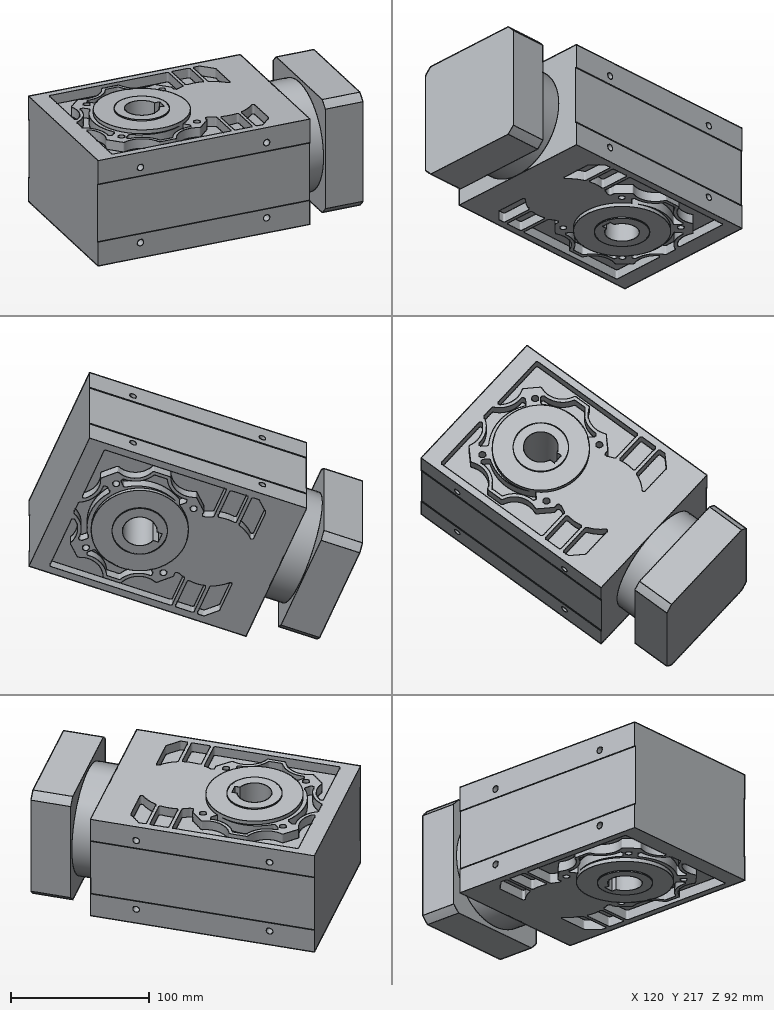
import cadquery as cq
import math


body_width = 120.0
body_length = 168.0
body_height = 84.0
body_front = -62.3
body_back = body_front + body_length
body_top = body_height / 2
side_relief_height = 45.8
side_relief_depth = 0.7

overall_length = 217.0
adapter_thickness = 30.0
adapter_size = 90.0
adapter_corner_diameter = 120.0
adapter_back = body_front + overall_length
adapter_front = adapter_back - adapter_thickness

cover_diameter = 70.0
cover_top = adapter_size / 2
hub_diameter = 40.0
hub_top = 46.0
bore_diameter = 25.0
key_width = 7.8
key_top = 15.8

hole_diameter = 5.0
hole_depth = 10.0
drill_point_angle = 118
cover_hole_offset = 30.0
side_hole_height = 30.0
side_hole_first = -28.6
side_hole_spacing = 100.0

pocket_depth = 7.5
pocket_fillet = 1.3
pocket_half_width = 54.5
wall = 2.5
large_pocket_front = -48.5
large_pocket_back = 46.0
middle_pocket_length = 14.3
rear_pocket_length = 14.0
rear_pocket_chamfer = 8.7
middle_pocket_front = large_pocket_back + wall
rear_pocket_front = middle_pocket_front + middle_pocket_length + wall
rear_pocket_back = rear_pocket_front + rear_pocket_length
input_boss_radius = 30.2
input_boss_y = 55.5
input_web_half_width = 26.3
front_web_half_width = 9.8

star_points = 8
star_y = -2.2
star_flat_distance = 49.7
scallop_radius = 17.0
scallop_center_distance = 59.7
bearing_wall_radius = 36.0
corner_rib_width = 10.8
cell_half_width = 25.2


def block(x0, x1, y0, y1, z0, z1):
    """Box between two opposite corners."""
    return cq.Workplane("XY").box(x1 - x0, y1 - y0, z1 - z0, centered=False).translate((x0, y0, z0))


def pocket_block(x0, x1, y0, y1):
    """Box filling the pocket depth below the top face."""
    return block(x0, x1, y0, y1, body_top - pocket_depth, body_top)


def pocket_disc(radius, y):
    """Disc filling the pocket depth below the top face."""
    floor = cq.Workplane("XY", origin=(0, y, body_top - pocket_depth))
    return floor.circle(radius).extrude(pocket_depth)


def polar(distance, angle):
    """Point at a distance and angle from the star centre."""
    return (distance * math.cos(angle), star_y + distance * math.sin(angle))


def flat_half_length(inset):
    """Half length of a star flat, where it meets the scallop beside it."""
    half_pitch = math.pi / star_points
    across = scallop_center_distance * math.cos(half_pitch) - (star_flat_distance - inset)
    along = scallop_center_distance * math.sin(half_pitch)
    return along - math.sqrt((scallop_radius + inset) ** 2 - across**2)


def star(inset):
    """Star with flat tips and scalloped sides, moved inward by inset."""
    pitch = 2 * math.pi / star_points
    flat_distance = star_flat_distance - inset
    half_length = flat_half_length(inset)
    corner_distance = math.hypot(flat_distance, half_length)
    corner_angle = math.atan2(half_length, flat_distance)
    scallop_bottom = scallop_center_distance - scallop_radius - inset
    outline = cq.Workplane("XY", origin=(0, 0, body_top - pocket_depth))
    outline = outline.moveTo(*polar(corner_distance, -corner_angle))
    for i in range(star_points):
        angle = i * pitch
        outline = outline.lineTo(*polar(corner_distance, angle + corner_angle))
        outline = outline.threePointArc(
            polar(scallop_bottom, angle + pitch / 2),
            polar(corner_distance, angle + pitch - corner_angle),
        )
    return outline.close().extrude(pocket_depth)


def round_corners(pocket):
    """Round the upright edges of a pocket."""
    return pocket.edges("|Z").fillet(pocket_fillet)


def outer_pockets():
    """The three pockets on the +X side of the top face."""
    input_boss = pocket_disc(input_boss_radius, input_boss_y)

    rear = pocket_block(0, pocket_half_width, rear_pocket_front, rear_pocket_back)
    rear = rear.edges("|Z and >X and >Y").chamfer(rear_pocket_chamfer)
    middle = pocket_block(
        0, pocket_half_width, middle_pocket_front, middle_pocket_front + middle_pocket_length
    )

    half_flat = flat_half_length(0)
    tip_x = (star_flat_distance - half_flat) / math.sqrt(2)
    tip_y = star_y + (star_flat_distance + half_flat) / math.sqrt(2)
    large = pocket_block(front_web_half_width, pocket_half_width, large_pocket_front, large_pocket_back)
    large = large.cut(star(0))
    large = large.cut(pocket_block(0, input_web_half_width, 0, input_boss_y))
    large = large.cut(pocket_block(0, tip_x, 0, tip_y))

    return [round_corners(p.cut(input_boss)) for p in (rear, middle, large)]


def star_cells():
    """Pockets inside the +X, -X and -Y points of the star."""
    core = star(wall).cut(pocket_disc(bearing_wall_radius, star_y))
    for angle in (45, 135):
        rib = pocket_block(-body_length, body_length, -corner_rib_width / 2, corner_rib_width / 2)
        core = core.cut(rib.rotate((0, 0, 0), (0, 0, 1), angle).translate((0, star_y, 0)))

    cells = []
    for angle in (0, 180, 270):
        window = pocket_block(0, body_length, -cell_half_width, cell_half_width)
        window = window.rotate((0, 0, 0), (0, 0, 1), angle).translate((0, star_y, 0))
        cells.append(round_corners(core.intersect(window)))
    return cells


def drilled_hole(point, direction):
    """Blind hole with a conical bottom."""
    radius = hole_diameter / 2
    tip_length = radius / math.tan(math.radians(drill_point_angle / 2))
    start = cq.Vector(*point)
    axis = cq.Vector(*direction)
    shank = cq.Solid.makeCylinder(radius, hole_depth, start, axis)
    tip = cq.Solid.makeCone(radius, 0, tip_length, start + axis * hole_depth, axis)
    return cq.Workplane(shank.fuse(tip))


def housing():
    """Block with relieved sides, the round neck and the motor adapter."""
    half_width = body_width / 2
    solid = block(-half_width, half_width, body_front, body_back, -body_top, body_top)
    for x in (-half_width, half_width):
        relief = cq.Workplane("XY").box(2 * side_relief_depth, body_length, side_relief_height)
        solid = solid.cut(relief.translate((x, (body_front + body_back) / 2, 0)))

    neck_plane = cq.Workplane("XZ", origin=(0, adapter_front, 0))
    neck = neck_plane.circle(body_height / 2).extrude(adapter_front - body_back)
    adapter_plane = cq.Workplane("XZ", origin=(0, adapter_back, 0))
    adapter = adapter_plane.rect(adapter_size, adapter_size).extrude(adapter_thickness)
    adapter = adapter.intersect(
        adapter_plane.circle(adapter_corner_diameter / 2).extrude(adapter_thickness)
    )
    return solid.union(neck).union(adapter)


def cut_pockets(solid):
    """Pockets on the top face, repeated on the bottom face."""
    pockets = star_cells()
    for pocket in outer_pockets():
        pockets += [pocket, pocket.mirror("YZ")]
    for pocket in pockets:
        solid = solid.cut(pocket).cut(pocket.mirror("XY"))
    return solid


def cut_holes(solid):
    """Cover holes in the top and bottom faces, mounting holes in both sides."""
    for sx in (-1, 1):
        for sz in (-1, 1):
            for y in (-cover_hole_offset, cover_hole_offset):
                solid = solid.cut(drilled_hole((sx * cover_hole_offset, y, sz * body_top), (0, 0, -sz)))
            for y in (side_hole_first, side_hole_first + side_hole_spacing):
                point = (sx * body_width / 2, y, sz * side_hole_height)
                solid = solid.cut(drilled_hole(point, (-sx, 0, 0)))
    return solid


def add_output_shaft(solid):
    """Covers and hub ends on both faces, with the keyed bore through them."""
    for diameter, top in ((cover_diameter, cover_top), (hub_diameter, hub_top)):
        solid = solid.union(cq.Workplane("XY").circle(diameter / 2).extrude(top, both=True))
    bore = cq.Workplane("XY").circle(bore_diameter / 2).extrude(hub_top, both=True)
    keyway = block(-key_width / 2, key_width / 2, 0, key_top, -hub_top, hub_top)
    return solid.cut(bore).cut(keyway)


result = add_output_shaft(cut_holes(cut_pockets(housing())))